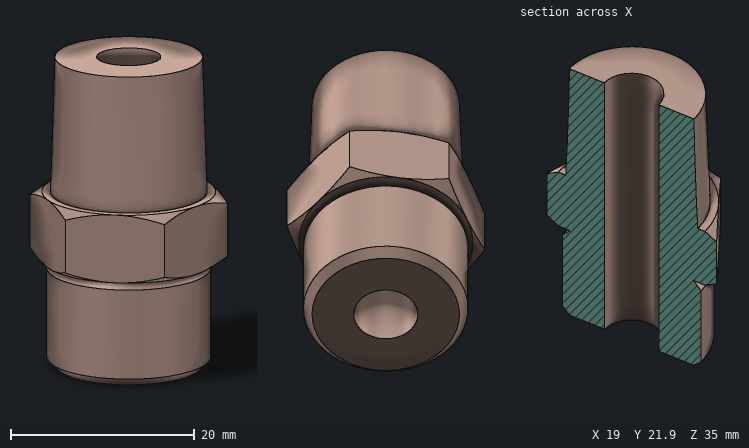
import cadquery as cq
import math

total_height = 35
across_flats = 19.0
hex_bottom = 12.0
hex_height = 7.7
hex_sides = 6
hex_chamfer_angle = 30
lower_diameter = 18.0
lower_chamfer = 0.95
taper_base_diameter = 17.15
taper_top_diameter = 16.17
bore_diameter = 7

hex_top = hex_bottom + hex_height
half_sector = 180 / hex_sides
across_corners = across_flats / math.cos(math.radians(half_sector))


def make_lower_cylinder():
    """Straight cylinder, chamfered at both ends."""
    cylinder = cq.Workplane("XY").circle(lower_diameter / 2).extrude(hex_bottom)
    return cylinder.faces("<Z or >Z").edges().chamfer(lower_chamfer)


def make_hexagon():
    """Hexagon with flats facing X, its corners trimmed by a cone at each end."""
    hexagon = (
        cq.Workplane("XY", origin=(0, 0, hex_bottom))
        .polygon(hex_sides, across_corners)
        .extrude(hex_height)
        .rotate((0, 0, 0), (0, 0, 1), half_sector)
    )
    flat_radius = across_flats / 2
    corner_radius = across_corners / 2
    corner_drop = (corner_radius - flat_radius) * math.tan(math.radians(hex_chamfer_angle))
    trim_profile = [
        (0, hex_bottom),
        (flat_radius, hex_bottom),
        (corner_radius, hex_bottom + corner_drop),
        (corner_radius, hex_top - corner_drop),
        (flat_radius, hex_top),
        (0, hex_top),
    ]
    trim = cq.Workplane("XZ").polyline(trim_profile).close().revolve(360, (0, 0), (0, 1))
    return hexagon.intersect(trim)


def make_tapered_end():
    """Cone narrowing from the hexagon to the top face."""
    return (
        cq.Workplane("XY", origin=(0, 0, hex_top))
        .circle(taper_base_diameter / 2)
        .workplane(offset=total_height - hex_top)
        .circle(taper_top_diameter / 2)
        .loft()
    )


body = make_lower_cylinder().union(make_hexagon()).union(make_tapered_end())
bore = cq.Workplane("XY").circle(bore_diameter / 2).extrude(total_height)
result = body.cut(bore)